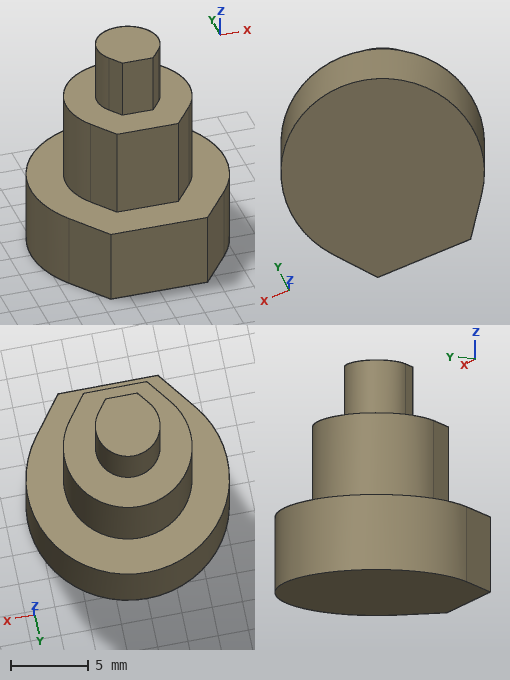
import cadquery as cq

total_height = 15.0
base_height = 5.0
middle_height = 6.0
tip_height = total_height - base_height - middle_height

base_diameter = 13.2
middle_diameter = 8.35
tip_diameter = 4.2


def keyed_step(diameter, height, bottom_z):
    """Round step with a flat on -Y, joined to the round by two tangent sides."""
    radius = diameter / 2
    flat_half_width = radius / 2
    tangent_x = radius * 4 / 5
    tangent_y = -radius * 3 / 5
    return (
        cq.Workplane("XY", origin=(0, 0, bottom_z))
        .moveTo(-flat_half_width, -radius)
        .lineTo(flat_half_width, -radius)
        .lineTo(tangent_x, tangent_y)
        .threePointArc((0, radius), (-tangent_x, tangent_y))
        .close()
        .extrude(height)
    )


base = keyed_step(base_diameter, base_height, 0)
middle = keyed_step(middle_diameter, middle_height, base_height)
tip = keyed_step(tip_diameter, tip_height, base_height + middle_height)

result = base.union(middle).union(tip)